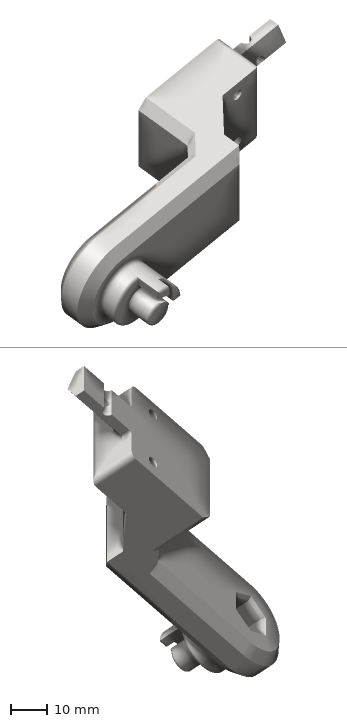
import cadquery as cq
import math

length = 110.0
height = 30.0
width = 47.5
arm_radius = height / 2
tang_end_y = length - arm_radius

block_depth = 15.0
block_end_y = tang_end_y - 20.0
block_front_y = 42.0
block_waist_y = 60.0
arm_start_y = 50.0
arm_back_x = 21.6
arm_thickness = 12.0
arm_face_x = arm_back_x + arm_thickness
edge_chamfer = 3.0
block_fillet = 2.0

tang_depth = 6.0
tang_height = 10.3
tang_root_fillet = 1.0
tang_hole_y = tang_end_y - 10.0
tang_hole_radius = 1.6

mount_hole_diameter = 3.4
mount_hole_spacing = 20.0
mount_hole_y = block_end_y - 9.0

boss_radius = 9.0
boss_length = 6.0
pin_radius = 4.1
key_inner_radius = 6.0
key_notch_depth = 4.2
pivot_fillet = 1.0

hex_flats = 10.7
hex_depth = 10.0
hex_chamfer = 1.0
hex_mouth_flats = hex_flats + 2 * hex_chamfer
HEX_CORNER_RATIO = 2 / math.sqrt(3)


def x_disc(start_x, radius, disc_length):
    """Cylinder on the pivot axis."""
    return cq.Workplane("YZ", origin=(start_x, 0, 0)).circle(radius).extrude(disc_length)


def make_inner_bevel():
    """Cutter for the bevel along the block's front face, the crank's inside corner and the arm's back."""
    def opening(section, spread):
        return section.polyline([
            (0, 0),
            (0, block_front_y + spread),
            (arm_back_x - edge_chamfer, block_front_y + spread),
            (arm_back_x + spread, block_front_y - edge_chamfer),
            (arm_back_x + spread, 0),
        ]).close()

    lower = opening(cq.Workplane("XY", origin=(0, 0, arm_radius - edge_chamfer)), 0)
    return opening(lower.workplane(offset=edge_chamfer), edge_chamfer).loft(ruled=True)


def make_block():
    """Mounting block and sloped web, with its lower inner edges chamfered."""
    slope_run = block_waist_y - arm_start_y
    block = (
        cq.Workplane("XY", origin=(0, 0, -height / 2))
        .moveTo(0, block_front_y)
        .lineTo(arm_back_x - edge_chamfer, block_front_y)
        .lineTo(arm_back_x, block_front_y - edge_chamfer)
        .lineTo(arm_face_x - edge_chamfer, block_front_y - edge_chamfer)
        .lineTo(arm_face_x - edge_chamfer, arm_start_y)
        .lineTo(block_depth + slope_run, arm_start_y)
        .lineTo(block_depth, block_waist_y)
        .lineTo(block_depth, block_end_y)
        .lineTo(0, block_end_y)
        .close()
        .extrude(height)
    )
    block = block.faces(">Y").edges("|X or >X").fillet(block_fillet)

    bevel = make_inner_bevel()
    return block.cut(bevel).cut(bevel.mirror("XY"))


def make_arm():
    """Round-ended arm, chamfered along both faces."""
    def outline(x):
        return (
            cq.Workplane("YZ", origin=(x, 0, 0))
            .moveTo(arm_start_y, arm_radius)
            .lineTo(0, arm_radius)
            .threePointArc((-arm_radius, 0), (0, -arm_radius))
            .lineTo(arm_start_y, -arm_radius)
            .close()
        )

    arm = outline(arm_back_x).extrude(arm_thickness)
    arm = arm.faces(">X").chamfer(edge_chamfer)
    arm = arm.faces("<X").edges("not >Y").chamfer(edge_chamfer)
    overlap_length = arm_start_y - block_front_y + edge_chamfer
    overlap = cq.Workplane("XY").box(
        arm_thickness - edge_chamfer, overlap_length, height, centered=(False, False, True)
    ).translate((arm_back_x, block_front_y - edge_chamfer, 0))
    return arm.cut(overlap)


def make_tang():
    """Flat-backed tang whose +X half tapers to a ridge."""
    half_height = tang_height / 2
    root_y = block_end_y - block_fillet
    return (
        cq.Workplane("XZ", origin=(0, tang_end_y, 0))
        .moveTo(0, -half_height)
        .lineTo(tang_depth / 2, -half_height)
        .lineTo(tang_depth, 0)
        .lineTo(tang_depth / 2, half_height)
        .lineTo(0, half_height)
        .close()
        .extrude(tang_end_y - root_y)
    )


def fillet_tang_root(body):
    """Concave fillet where the tang meets the end of the block."""
    reach = 0.1
    root = cq.selectors.BoxSelector(
        (reach, block_end_y - reach, -tang_height),
        (tang_depth + reach, block_end_y + reach, tang_height),
    )
    return body.edges(root).fillet(tang_root_fillet)


def make_pivot():
    """Boss with a flared root, a central pin and a notched quarter-ring key."""
    boss = x_disc(arm_face_x, boss_radius, boss_length).faces(">X").edges().fillet(pivot_fillet)
    flare_radius = boss_radius + pivot_fillet
    flare = (
        cq.Workplane("XY")
        .moveTo(arm_face_x, 0)
        .lineTo(arm_face_x, flare_radius)
        .radiusArc((arm_face_x + pivot_fillet, boss_radius), -pivot_fillet)
        .lineTo(arm_face_x + pivot_fillet, 0)
        .close()
        .revolve(360, (0, 0, 0), (1, 0, 0))
    )

    pin_length = width - arm_face_x
    quadrant = cq.Workplane("XY").box(
        pin_length, boss_radius, boss_radius, centered=False
    ).translate((arm_face_x, 0, 0))
    sector = x_disc(arm_face_x, boss_radius, pin_length).intersect(quadrant)
    pin = x_disc(arm_face_x, pin_radius, pin_length).union(sector)
    pin = pin.faces(">X").edges().fillet(pivot_fillet)

    gap = x_disc(arm_face_x, key_inner_radius, pin_length).cut(x_disc(arm_face_x, pin_radius, pin_length))
    gap = gap.intersect(quadrant)
    notch = cq.Workplane("XY").box(
        key_notch_depth, key_inner_radius - pin_radius, boss_radius, centered=False
    ).translate((width - key_notch_depth, pin_radius, 0))
    return pin.cut(gap).cut(notch).union(boss).union(flare)


def hex_outline(x, flats):
    """Hexagon on the pivot axis with corners pointing up and down."""
    plane = cq.Plane(origin=(x, 0, 0), xDir=(0, 0, 1), normal=(1, 0, 0))
    return cq.Workplane(plane).polygon(6, flats * HEX_CORNER_RATIO)


def make_socket():
    """Hexagonal socket with a chamfered mouth."""
    socket = hex_outline(arm_back_x, hex_flats).extrude(hex_depth)
    mouth = (
        hex_outline(arm_back_x, hex_mouth_flats)
        .workplane(offset=hex_chamfer)
        .polygon(6, hex_flats * HEX_CORNER_RATIO)
        .loft(combine=True)
    )
    return socket.union(mouth)


def make_holes():
    """Mounting holes, the tang's cross hole and the groove across its back."""
    mount_holes = (
        cq.Workplane("YZ")
        .pushPoints([(mount_hole_y, side * mount_hole_spacing / 2) for side in (-1, 1)])
        .circle(mount_hole_diameter / 2)
        .extrude(block_depth)
    )
    tang_hole = cq.Workplane("YZ").center(tang_hole_y, 0).circle(tang_hole_radius).extrude(tang_depth)
    groove = (
        cq.Workplane("XY")
        .center(0, tang_hole_y)
        .circle(tang_hole_radius)
        .extrude(tang_height / 2, both=True)
    )
    return mount_holes.union(tang_hole).union(groove)


body = fillet_tang_root(make_block().union(make_arm()).union(make_tang()))
result = body.union(make_pivot()).cut(make_socket()).cut(make_holes())